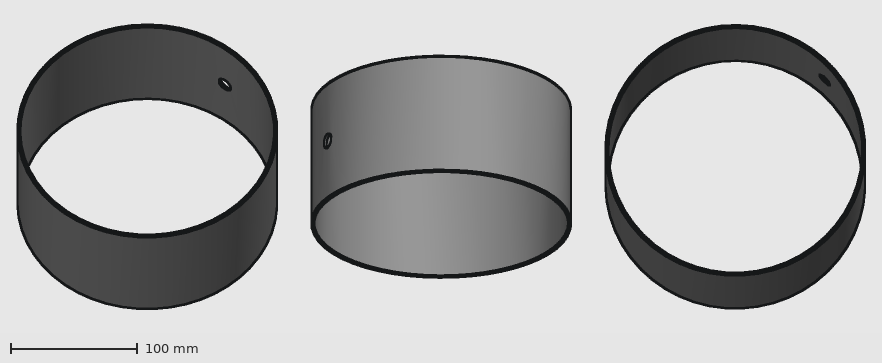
import cadquery as cq

outer_diameter = 205.0
height = 100.0
wall = 2.5
chamfer_width = 0.51
chamfer_height = 1.2
hole_diameter = 11.9

outer_radius = outer_diameter / 2
inner_radius = outer_radius - wall
hole_height = height / 2

wall_section = (
    cq.Workplane("XZ")
    .moveTo(inner_radius, chamfer_height)
    .lineTo(inner_radius + chamfer_width, 0)
    .lineTo(outer_radius - chamfer_width, 0)
    .lineTo(outer_radius, chamfer_height)
    .lineTo(outer_radius, height - chamfer_height)
    .lineTo(outer_radius - chamfer_width, height)
    .lineTo(inner_radius + chamfer_width, height)
    .lineTo(inner_radius, height - chamfer_height)
    .close()
)

ring = wall_section.revolve(360, (0, 0), (0, 1))

hole = (
    cq.Workplane("XZ")
    .center(0, hole_height)
    .circle(hole_diameter / 2)
    .extrude(-outer_diameter)
)
result = ring.cut(hole)